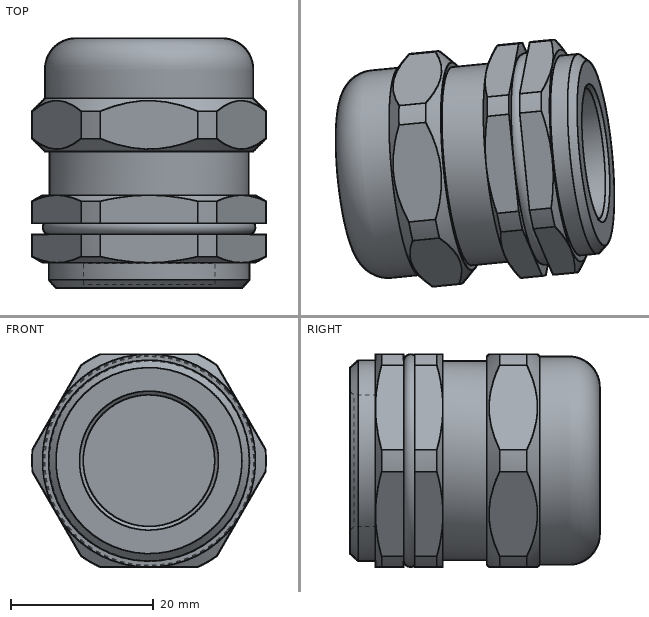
import cadquery as cq
import math

total_length = 35.2
across_flats = 30.0
across_corners = 33.0
hexagon_sides = 6

thread_diameter = 28.3
body_diameter = 28.1
cap_diameter = 29.4
cap_hex_face_diameter = 29.3

locknut_start = 3.6
locknut_end = 7.57
body_hex_start = 9.1
body_hex_end = 13.1
cap_hex_start = 19.22
cap_hex_end = 26.75

thread_chamfer_length = 1.15
thread_chamfer_depth = 1.05
cap_fillet = 4.4
nut_chamfer_angle = 30
cap_hex_chamfer_angle = 45

seal_center_diameter = 28.0
seal_section_radius = (across_flats - seal_center_diameter) / 2
seal_position = 8.55

recess_diameter = 18.5
recess_depth = 3.52
recess_chamfer = 0.53
recess_chamfer_angle = 45

front_y = -total_length / 2


def cylinder(diameter, start, end):
    """Cylinder along +Y between two distances from the threaded end."""
    plane = cq.Plane(origin=(0, front_y + start, 0), xDir=(1, 0, 0), normal=(0, 1, 0))
    return cq.Workplane(plane).circle(diameter / 2).extrude(end - start)


def hexagon(start, end, face_diameter, angle, chamfer_start, chamfer_end):
    """Hexagon with rounded corners and conically chamfered ends."""
    plane = cq.Plane(origin=(0, front_y + start, 0), xDir=(1, 0, 0), normal=(0, 1, 0))
    sharp_corners = across_flats / math.cos(math.pi / hexagon_sides)
    prism = cq.Workplane(plane).polygon(hexagon_sides, sharp_corners).extrude(end - start)

    corner_radius = across_corners / 2
    face_radius = face_diameter / 2
    chamfer_length = (corner_radius - face_radius) * math.tan(math.radians(angle))
    y_start = front_y + start
    y_end = front_y + end

    profile = cq.Workplane("XY").moveTo(0, y_start)
    if chamfer_start:
        profile = profile.lineTo(face_radius, y_start).lineTo(corner_radius, y_start + chamfer_length)
    else:
        profile = profile.lineTo(corner_radius, y_start)
    if chamfer_end:
        profile = profile.lineTo(corner_radius, y_end - chamfer_length).lineTo(face_radius, y_end)
    else:
        profile = profile.lineTo(corner_radius, y_end)
    envelope = profile.lineTo(0, y_end).close().revolve(360, (0, 0, 0), (0, 1, 0))
    return prism.intersect(envelope)


def threaded_end():
    """Plain thread cylinder with a tapered lead-in at its open end."""
    end = cylinder(thread_diameter, 0, body_hex_start)
    return end.faces("<Y").edges().chamfer(thread_chamfer_length, thread_chamfer_depth)


def seal_ring():
    """Ring of circular section, clipped where it is squeezed between the hexagons."""
    center_radius = seal_center_diameter / 2
    inner_radius = body_diameter / 2 - seal_section_radius
    center_y = front_y + seal_position
    y_start = front_y + locknut_end
    y_end = front_y + body_hex_start

    def section_radius(y):
        return center_radius + math.sqrt(seal_section_radius**2 - (y - center_y) ** 2)

    return (
        cq.Workplane("XY")
        .moveTo(inner_radius, y_start)
        .lineTo(section_radius(y_start), y_start)
        .threePointArc((center_radius + seal_section_radius, center_y), (section_radius(y_end), y_end))
        .lineTo(inner_radius, y_end)
        .close()
        .revolve(360, (0, 0, 0), (0, 1, 0))
    )


def domed_cap():
    """Cylindrical cap with a large fillet around its closed end."""
    return cylinder(cap_diameter, cap_hex_start, total_length).faces(">Y").edges().fillet(cap_fillet)


def recess():
    """Cutter for the blind bore and its chamfered mouth."""
    bore = cylinder(recess_diameter, 0, recess_depth)
    front_plane = cq.Plane(origin=(0, front_y, 0), xDir=(1, 0, 0), normal=(0, 1, 0))
    mouth_radius = recess_diameter / 2 + recess_chamfer
    mouth = cq.Workplane(front_plane).circle(mouth_radius).extrude(recess_chamfer, taper=recess_chamfer_angle)
    return bore.union(mouth)


locknut = hexagon(locknut_start, locknut_end, across_flats, nut_chamfer_angle, True, False)
body_hex = hexagon(body_hex_start, body_hex_end, across_flats, nut_chamfer_angle, False, True)
cap_hex = hexagon(cap_hex_start, cap_hex_end, cap_hex_face_diameter, cap_hex_chamfer_angle, True, True)

result = (
    threaded_end()
    .union(locknut)
    .union(seal_ring())
    .union(body_hex)
    .union(cylinder(body_diameter, body_hex_start, cap_hex_start))
    .union(cap_hex)
    .union(domed_cap())
    .cut(recess())
)